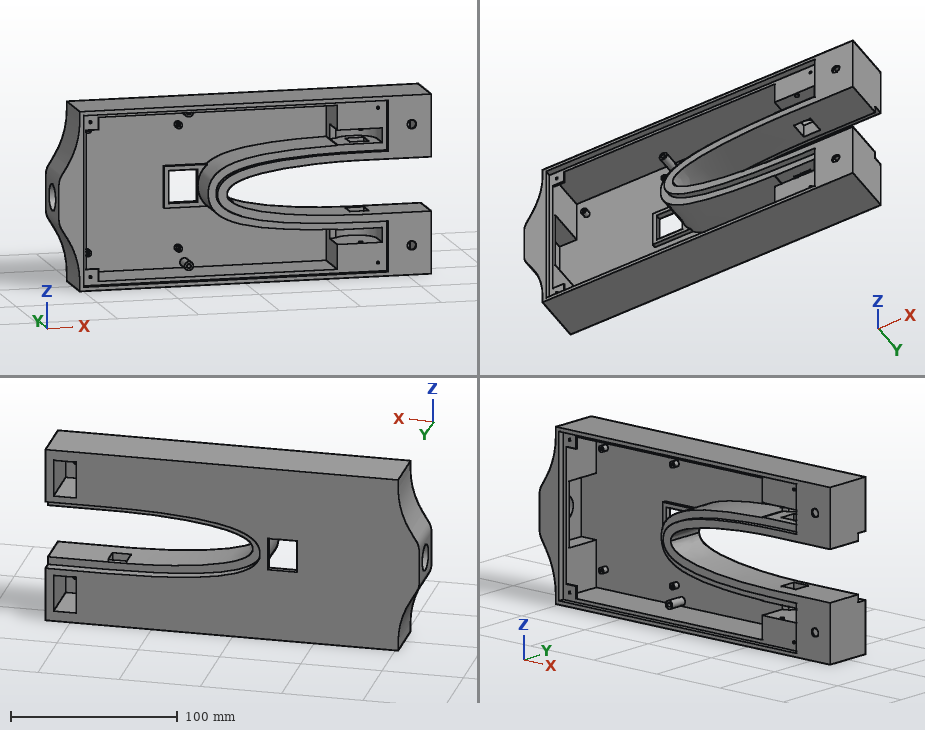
import cadquery as cq
import math

length = 230.0
depth = 32.7
half_width = 110.0 / 2

nose_length = 12.9
shoulder_outer_z = 34.7
shoulder_inner_z = 13.8
shoulder_hollow_radius = 51.3
shoulder_round_radius = 11.0
cable_hole_diameter = 16.0
nose_wall = 5.8
nose_pocket_half_width = 20.7
nose_pocket_front = 7.0

rim = 2.5
seat_depth = 4.0
seat_left = nose_length + rim
seat_right = 203.3
seat_half_width = half_width - rim

ledge = 2.3
floor_thickness = 1.0
floor_y = depth - floor_thickness
cavity_left = seat_left + ledge
cavity_right = 173.0
cavity_half_width = seat_half_width - ledge

throat = (104.0, 183.8, 16.5, 13.8, 21.2)
throat_seat = (98.0, 193.7, 21.5, 13.8, 71.0)
throat_wall = (93.2, 203.3, 26.0, 20.5, 81.5)
back_rebate_depth = 6.7

corner_tab_right = 25.5
corner_tab_inner_z = 42.5
corner_tab_thickness = 1.2
corner_tab_back = seat_depth + corner_tab_thickness
cover_screw_diameter = 1.5
cover_screw_depth = 9.2
cover_screw_z = 47.4
cover_screw_left_x = 20.5
cover_screw_right_x = 198.0

window_left = 75.2
window_right = throat_wall[0]
window_half_height = 20.0 / 2
frame_width = 2.8
frame_right = 100.0
frame_height = 2.8

small_post_diameter = 4.0
small_post_bore = 1.5
small_post_height = 4.1
small_post_xs = (25.0, 81.2)
small_post_z = 37.7
tall_post_diameter = 5.3
tall_post_bore = 2.5
tall_post_height = 11.7
tall_post_x = 85.3
tall_post_z = 47.0

pocket_right = 200.5
pocket_inner_z = throat_wall[2]
pocket_outer_z = 35.0
trough_radius = 11.7
trough_flat = 2.3
trough_bottom_y = 28.5
trough_left_angle = math.radians(54)
lip_rise = 1.4
sensor_opening = 11.5
sensor_x = 188.1
sensor_y = depth / 2
peg_diameter = 2.5
peg_length = 0.7
peg_y = 5.3

mount_hole_diameter = 5.3
mount_hole_x = 218.0
mount_hole_z = 37.0
mount_wall = 1.2
mount_pocket_length = 13.8
mount_pocket_width = 23.0


def front_plane(y):
    """Sketch plane at depth y; sketch axes are X and Z."""
    return cq.Workplane("XZ", origin=(0, y, 0))


def box(x0, x1, y0, y1, z0, z1):
    size = (x1 - x0, y1 - y0, z1 - z0)
    return cq.Workplane("XY", origin=(x0, y0, z0)).box(*size, centered=False)


def rods(points, diameter, y0, y1):
    """Round rods along Y from y0 to y1 at the given (x, z) points."""
    return front_plane(y0).pushPoints(points).circle(diameter / 2).extrude(y0 - y1)


def mirrored(xs, z):
    return [(x, side * z) for x in xs for side in (1, -1)]


def throat_prism(outline, y0, y1):
    """U-shaped prism: a curved tip widening into straight sides that run out at the arm ends."""
    tip_x, curve_end_x, half, tip_handle, arm_handle = outline
    lower = [(curve_end_x, -half), (curve_end_x - arm_handle, -half), (tip_x, -tip_handle), (tip_x, 0)]
    upper = [(x, -z) for x, z in reversed(lower)]
    return (
        front_plane(y0)
        .moveTo(length, half)
        .lineTo(length, -half)
        .lineTo(*lower[0])
        .bezier(lower)
        .bezier(upper)
        .close()
        .extrude(y0 - y1)
    )


def make_body():
    outline = [
        (length, -half_width),
        (length, half_width),
        (nose_length, half_width),
        (nose_length, shoulder_outer_z),
        (0, shoulder_inner_z),
        (0, -shoulder_inner_z),
        (nose_length, -shoulder_outer_z),
        (nose_length, -half_width),
    ]
    body = front_plane(0).polyline(outline).close().extrude(-depth)
    for side in (1, -1):
        hollow = (nose_length, depth / 2, side * shoulder_outer_z)
        tip = (0, depth / 2, side * shoulder_inner_z)
        body = body.edges(cq.NearestToPointSelector(hollow)).fillet(shoulder_hollow_radius)
        body = body.edges(cq.NearestToPointSelector(tip)).fillet(shoulder_round_radius)
    return body


def make_cavity():
    cavity = box(cavity_left, cavity_right, 0, floor_y, -cavity_half_width, cavity_half_width)
    for side in (1, -1):
        z_min, z_max = sorted((side * corner_tab_inner_z, side * cavity_half_width))
        cavity = cavity.cut(box(cavity_left, corner_tab_right, 0, corner_tab_back, z_min, z_max))
    return cavity.cut(throat_prism(throat_wall, 0, floor_y))


def make_cover_seat():
    seat = box(seat_left, seat_right, 0, seat_depth, -seat_half_width, seat_half_width)
    return seat.cut(throat_prism(throat_seat, 0, seat_depth))


def add_sensor_pocket(part, side):
    """Cut the trough and its opening into the throat of one arm, and add the peg on the outer wall."""
    wall_y = trough_bottom_y - trough_radius
    right_arc_x = pocket_right - trough_radius
    left_arc_x = right_arc_x - trough_flat

    def left_arc_point(angle):
        return (left_arc_x - trough_radius * math.sin(angle), wall_y + trough_radius * math.cos(angle))

    lip_x, lip_y = left_arc_point(trough_left_angle)
    right_middle = trough_radius * math.sqrt(0.5)
    z_start = min(side * pocket_inner_z, side * pocket_outer_z)
    pocket = (
        cq.Workplane("XY", origin=(0, 0, z_start))
        .moveTo(cavity_right, 0)
        .lineTo(pocket_right, 0)
        .lineTo(pocket_right, wall_y)
        .threePointArc((right_arc_x + right_middle, wall_y + right_middle), (right_arc_x, trough_bottom_y))
        .lineTo(left_arc_x, trough_bottom_y)
        .threePointArc(left_arc_point(trough_left_angle / 2), (lip_x, lip_y))
        .lineTo(cavity_right, lip_y - lip_rise)
        .close()
        .extrude(pocket_outer_z - pocket_inner_z)
    )
    peg = (
        cq.Workplane("XY", origin=(right_arc_x - trough_flat / 2, peg_y, side * pocket_outer_z))
        .circle(peg_diameter / 2)
        .extrude(-side * peg_length)
    )
    opening = (
        cq.Workplane("XY", origin=(sensor_x, sensor_y, 0))
        .rect(sensor_opening, sensor_opening)
        .extrude(side * (pocket_inner_z + peg_length))
    )
    return part.cut(pocket).cut(opening).union(peg)


def make_window():
    """Opening cut through the frame and the floor."""
    frame_y = floor_y - frame_height
    return box(window_left, window_right, frame_y, depth, -window_half_height, window_half_height)


def make_window_frame():
    """Raised frame around the window; its right end runs into the throat wall."""
    outer_half = window_half_height + frame_width
    frame_left = window_left - frame_width
    return box(frame_left, frame_right, floor_y - frame_height, floor_y, -outer_half, outer_half)


def add_posts(part, points, diameter, bore, height):
    part = part.union(rods(points, diameter, floor_y - height, floor_y))
    return part.cut(rods(points, bore, floor_y - height, floor_y))


def make_cable_entry():
    """Round hole in the nose, opening into a pocket that joins the main cavity."""
    hole = cq.Workplane("YZ").center(depth / 2, 0).circle(cable_hole_diameter / 2).extrude(cavity_left)
    pocket = box(
        nose_wall, cavity_left, nose_pocket_front, floor_y, -nose_pocket_half_width, nose_pocket_half_width
    )
    return hole.union(pocket)


def make_mounts():
    """Mounting hole in a thin front wall, with a rectangular pocket open at the back, in each arm."""
    points = mirrored([mount_hole_x], mount_hole_z)
    pockets = (
        front_plane(mount_wall)
        .pushPoints(points)
        .rect(mount_pocket_length, mount_pocket_width)
        .extrude(mount_wall - depth)
    )
    return pockets.union(rods(points, mount_hole_diameter, 0, mount_wall))


body = make_body()
body = body.cut(make_cavity())
body = body.cut(make_cover_seat())
body = body.union(make_window_frame())
body = body.cut(make_window())

body = body.cut(throat_prism(throat, 0, depth))
body = body.cut(throat_prism(throat_seat, depth - back_rebate_depth, depth))

small_posts = mirrored(small_post_xs, small_post_z)
body = add_posts(body, small_posts, small_post_diameter, small_post_bore, small_post_height)
tall_posts = mirrored([tall_post_x], tall_post_z)
body = add_posts(body, tall_posts, tall_post_diameter, tall_post_bore, tall_post_height)

for side in (1, -1):
    body = add_sensor_pocket(body, side)

cover_screws = mirrored((cover_screw_left_x, cover_screw_right_x), cover_screw_z)
body = body.cut(rods(cover_screws, cover_screw_diameter, seat_depth, seat_depth + cover_screw_depth))
body = body.cut(make_mounts())
result = body.cut(make_cable_entry())